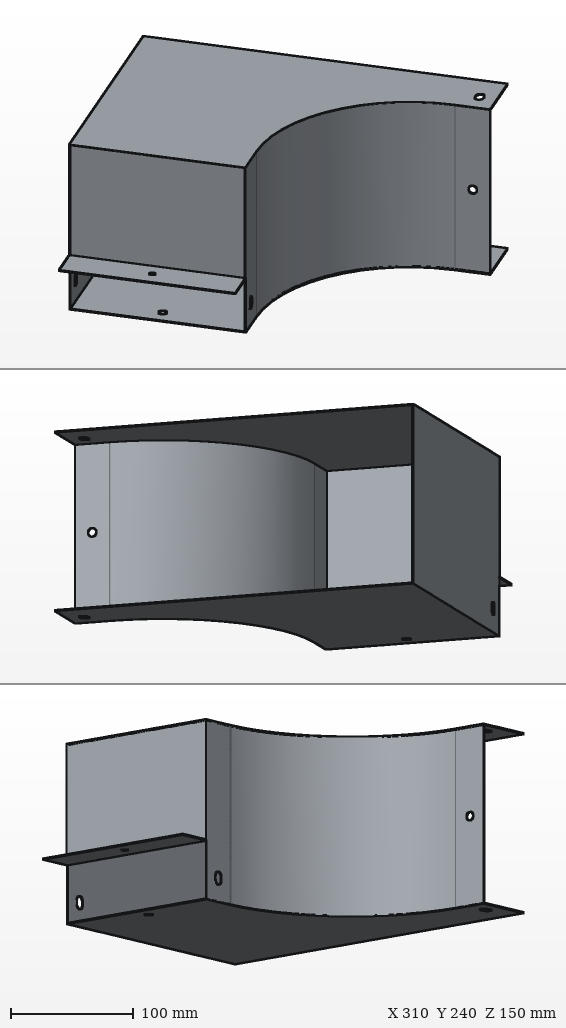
import cadquery as cq

length_x = 310.0
length_y = 240.0
width = 150.0
depth = 50.0
sheet = 1.0
straight = 30.0
lip = 30.0

fixing_hole = 7.0
lip_hole = 5.0
slot_length = 11.0
hole_inset = 15.0
slot_height = 20.0

mouth_y = lip
inner_y = length_y - depth
bend_radius = length_x - straight - width
bend_start_y = inner_y - bend_radius
bend_end_x = length_x - straight
hole_x = length_x - hole_inset
hole_y = mouth_y + hole_inset
middle = width / 2


def box(x_range, y_range, z_range):
    """Box spanning the given ranges."""
    size = [end - start for start, end in (x_range, y_range, z_range)]
    corner = (x_range[0], y_range[0], z_range[0])
    return cq.Workplane("XY").box(*size, centered=False).translate(corner)


def bend_body(offset, front_y, bottom_z, top_z):
    """Solid elbow whose inner side is set back by offset."""
    side_x = width - offset
    side_y = inner_y + offset
    return (
        cq.Workplane("XY", origin=(0, 0, bottom_z))
        .moveTo(0, front_y)
        .lineTo(side_x, front_y)
        .lineTo(side_x, bend_start_y)
        .radiusArc((bend_end_x, side_y), bend_radius + offset)
        .lineTo(length_x, side_y)
        .lineTo(length_x, length_y)
        .lineTo(0, length_y)
        .close()
        .extrude(top_z - bottom_z)
    )


def shell():
    """Floor, roof, left wall and curved inner wall; the +Y side stays open."""
    body = bend_body(0, mouth_y, 0, width)
    cavity = bend_body(sheet, mouth_y, sheet, width - sheet)
    left_wall = box((0, sheet), (mouth_y, length_y), (0, width))
    return body.cut(cavity).union(left_wall)


def front_plate():
    """Bent plate above the -Y mouth: an upright face and a lip."""
    lip_bottom = depth - sheet
    upright = box((0, width), (mouth_y - sheet, mouth_y), (lip_bottom, width))
    flange = box((0, width), (0, mouth_y), (lip_bottom, depth))
    return upright.union(flange)


def floor_holes():
    """Round hole in the floor of the -Y mouth and the smaller one in the lip."""
    floor_hole = cq.Workplane("XY").center(middle, hole_y).circle(fixing_hole / 2).extrude(depth / 2)
    small_hole = cq.Workplane("XY").center(middle, hole_inset).circle(lip_hole / 2).extrude(width)
    return floor_hole.union(small_hole)


def inner_wall_hole():
    """Round hole in the inner wall near the +X mouth."""
    return (
        cq.Workplane("XZ", origin=(0, length_y, 0))
        .center(hole_x, middle)
        .circle(fixing_hole / 2)
        .extrude(length_y)
    )


def side_slots():
    """Slots through both side walls of each mouth."""
    upright_slots = (
        cq.Workplane("XY")
        .center(hole_x, inner_y + slot_height)
        .slot2D(slot_length, fixing_hole, 90)
        .extrude(width)
    )
    crosswise_slots = (
        cq.Workplane("YZ")
        .center(hole_y, slot_height)
        .slot2D(slot_length, fixing_hole, 90)
        .extrude(width)
    )
    return upright_slots.union(crosswise_slots)


result = shell().union(front_plate())
for cutter in (floor_holes(), inner_wall_hole(), side_slots()):
    result = result.cut(cutter)